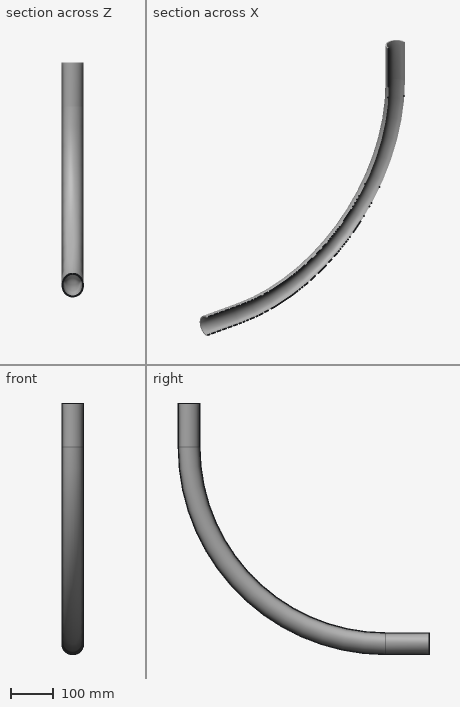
import cadquery as cq
import math

OUTER_DIAMETER = 50.8
INNER_DIAMETER = 44.7

BEND_RADIUS = 457.2
BEND_ANGLE = 90
LEG_LENGTH = 101.6

reach = BEND_RADIUS + LEG_LENGTH
bend_middle = BEND_RADIUS * (1 - math.cos(math.radians(BEND_ANGLE / 2)))


def centreline():
    """Path from the top of the upright leg to the +Y end of the level leg."""
    return (
        cq.Workplane("YZ")
        .moveTo(0, reach)
        .lineTo(0, BEND_RADIUS)
        .threePointArc((bend_middle, bend_middle), (BEND_RADIUS, 0))
        .lineTo(reach, 0)
    )


def bent_tube():
    """Sweep the annular tube section along the centreline."""
    section = (
        cq.Workplane("XY", origin=(0, 0, reach))
        .circle(OUTER_DIAMETER / 2)
        .circle(INNER_DIAMETER / 2)
    )
    return section.sweep(centreline())


result = bent_tube()